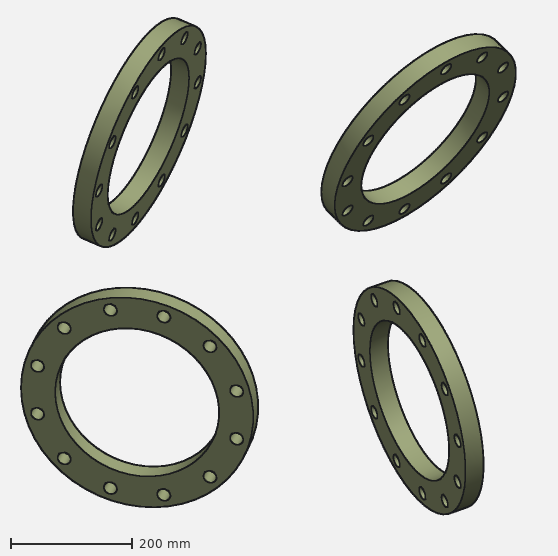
import cadquery as cq

outer_diameter = 394.5
bore_diameter = 278.0
thickness = 34.0

bolt_circle_diameter = 350.0
bolt_hole_diameter = 22.0
bolt_count = 12
bolt_pitch_angle = 360 / bolt_count


def make_ring():
    """Flat ring from X = 0 to X = thickness."""
    return (
        cq.Workplane("YZ")
        .circle(outer_diameter / 2)
        .circle(bore_diameter / 2)
        .extrude(thickness)
    )


def make_bolt_holes():
    """Cylinders that cut the bolt holes through the full thickness."""
    return (
        cq.Workplane("YZ")
        .polarArray(bolt_circle_diameter / 2, bolt_pitch_angle / 2, 360, bolt_count)
        .circle(bolt_hole_diameter / 2)
        .extrude(thickness)
    )


result = make_ring().cut(make_bolt_holes())